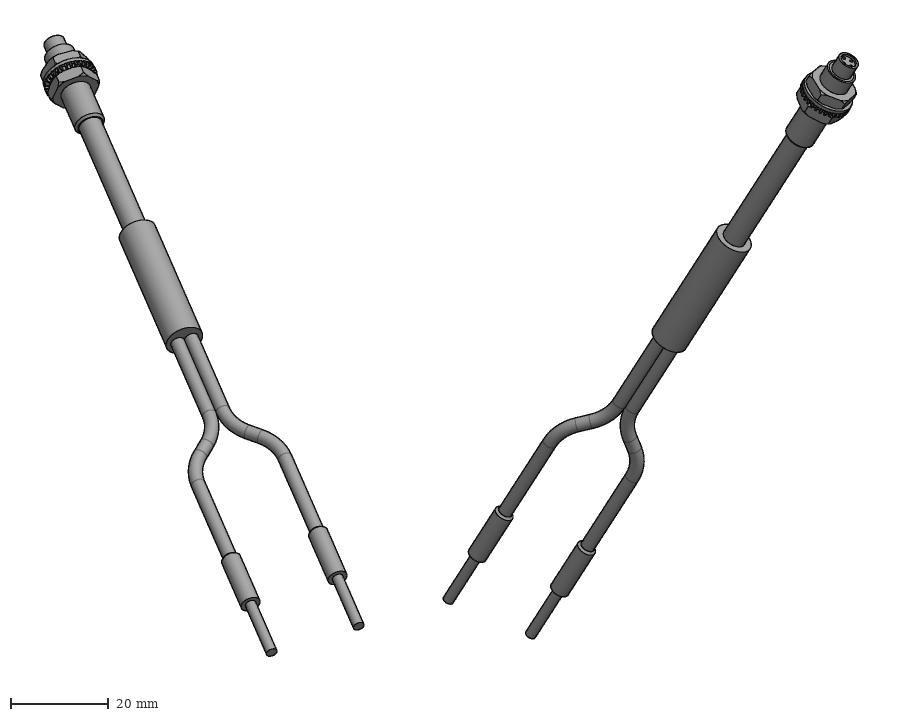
import cadquery as cq
import math

length = 165.6

nose_diameter = 4.5
nose_length = 3.3
shoulder_diameter = 5.6
shoulder_length = 3.3
face_recess_diameter = 3.5
face_recess_depth = 0.5
pin_hole_count = 4
pin_hole_diameter = 0.7
pin_hole_circle = 2.3
pin_hole_depth = 2.5
first_pin_angle = 45.0

barrel_diameter = 6.5
barrel_end = 23.0
barrel_chamfer = 0.5
hex_start = 6.8
hex_length = 2.5
hex_across_flats = 9.5
hex_chamfer = 0.5
flange_diameter = 11.1
flange_length = 0.8

washer_diameter = 11.3
washer_thickness = 1.0
tooth_count = 32
tooth_depth = 0.8
tooth_gap = 0.7

nut_length = 2.6
nut_turn = 10.0

cable_diameter = 5.0
cable_depth = 3.3
sleeve_diameter = 8.0
sleeve_start = 52.8
sleeve_length = 29.8

lead_diameter = 3.0
lead_spacing = 18.9
fork_start = 102.7
fork_turn = 3.0
bend_radius = 10.0
bend_angle = 45.0
ferrule_diameter = 4.1
ferrule_start = 139.3
ferrule_length = 12.9
ferrule_chamfer = 0.5
tip_diameter = 2.3

flange_start = hex_start + hex_length
washer_start = flange_start + flange_length
nut_start = washer_start + washer_thickness
insert_end = nose_length + shoulder_length
cable_start = barrel_end - cable_depth
sleeve_end = sleeve_start + sleeve_length
cable_end = sleeve_start + sleeve_length / 2
ferrule_end = ferrule_start + ferrule_length


def rod(diameter, start, end):
    """Round rod along X."""
    return cq.Workplane("YZ", origin=(start, 0, 0)).circle(diameter / 2).extrude(end - start)


def hexagon(start, thickness):
    """Hexagonal prism along X, flats facing +Z and -Z, with its corners turned down at both ends."""
    across_corners = hex_across_flats / math.cos(math.pi / 6)
    prism = cq.Workplane("YZ", origin=(start, 0, 0)).polygon(6, across_corners).extrude(thickness)
    turned = rod(across_corners, start, start + thickness).faces("<X or >X").chamfer(hex_chamfer)
    return prism.intersect(turned)


def make_insert():
    """Contact insert: a nose with blind pin holes in its recessed face, and a wider shoulder behind."""
    holes = (
        cq.Workplane("YZ")
        .polarArray(pin_hole_circle / 2, first_pin_angle, 360, pin_hole_count)
        .circle(pin_hole_diameter / 2)
        .extrude(pin_hole_depth)
    )
    face_recess = rod(face_recess_diameter, 0, face_recess_depth)
    nose = rod(nose_diameter, 0, nose_length)
    shoulder = rod(shoulder_diameter, nose_length, insert_end)
    return nose.union(shoulder).cut(face_recess).cut(holes)


def make_housing():
    """Barrel with a hexagon and a flange, open to the insert in front and the cable behind."""
    barrel = rod(barrel_diameter, nose_length, barrel_end).faces(">X").chamfer(barrel_chamfer)
    flange = rod(flange_diameter, flange_start, washer_start)
    insert_socket = rod(shoulder_diameter, nose_length, insert_end)
    cable_socket = rod(cable_diameter, cable_start, barrel_end)
    body = barrel.union(hexagon(hex_start, hex_length)).union(flange)
    return body.cut(insert_socket).cut(cable_socket)


def make_washer():
    """Lock washer with evenly spaced teeth around its rim."""
    disc = rod(washer_diameter, washer_start, nut_start)
    half_pitch = 180 / tooth_count
    gaps = (
        cq.Workplane("YZ", origin=(washer_start, 0, 0))
        .polarArray(washer_diameter / 2, half_pitch, 360, tooth_count)
        .rect(2 * tooth_depth, tooth_gap)
        .extrude(washer_thickness)
    )
    return disc.cut(gaps).cut(rod(barrel_diameter, washer_start, nut_start))


def make_nut():
    """Hexagonal nut, turned a little from the housing's hexagon."""
    nut = hexagon(nut_start, nut_length)
    bore = rod(barrel_diameter, nut_start, nut_start + nut_length)
    return nut.cut(bore).rotate((0, 0, 0), (1, 0, 0), nut_turn)


def make_cable():
    """Round cable from its socket in the housing to the middle of the sleeve."""
    return rod(cable_diameter, cable_start, cable_end)


def lead_path(near_y, far_y):
    """Centre line of a lead: two equal and opposite bends joined by straight runs."""
    side = math.copysign(1, far_y)
    angle = math.radians(bend_angle)
    bend_x = bend_radius * math.sin(angle)
    bend_y = side * bend_radius * (1 - math.cos(angle))
    middle_x = bend_radius * math.sin(angle / 2)
    middle_y = side * bend_radius * (1 - math.cos(angle / 2))
    slant_x = (abs(far_y - near_y) - 2 * abs(bend_y)) / math.tan(angle)
    fork_end = fork_start + 2 * bend_x + slant_x
    return (
        cq.Workplane("XY")
        .moveTo(cable_end, near_y)
        .lineTo(fork_start, near_y)
        .threePointArc((fork_start + middle_x, near_y + middle_y), (fork_start + bend_x, near_y + bend_y))
        .lineTo(fork_end - bend_x, far_y - bend_y)
        .threePointArc((fork_end - middle_x, far_y - middle_y), (fork_end, far_y))
        .lineTo(ferrule_start, far_y)
    )


def make_lead(side):
    """Bent lead with a ferrule and a thin tip; side is +1 toward +Y and -1 toward -Y."""
    near_y = side * lead_diameter / 2
    far_y = side * lead_spacing / 2
    section = cq.Workplane("YZ", origin=(cable_end, near_y, 0)).circle(lead_diameter / 2)
    wire = section.sweep(lead_path(near_y, far_y))
    ferrule = rod(ferrule_diameter, ferrule_start, ferrule_end).faces("<X").chamfer(ferrule_chamfer)
    tip = rod(tip_diameter, ferrule_end, length)
    end = ferrule.union(tip).translate((0, far_y, 0))
    return wire.union(end).rotate((0, 0, 0), (1, 0, 0), fork_turn)


def make_sleeve(cable, leads):
    """Sleeve with matching holes for the cable in front and the leads behind."""
    sleeve = rod(sleeve_diameter, sleeve_start, sleeve_end).cut(cable)
    for lead in leads:
        sleeve = sleeve.cut(lead)
    return sleeve


insert = make_insert()
housing = make_housing()
washer = make_washer()
nut = make_nut()
cable = make_cable()
leads = [make_lead(side) for side in (1, -1)]
sleeve = make_sleeve(cable, leads)

result = cq.Compound.makeCompound(
    [
        insert.val(),
        housing.val(),
        washer.val(),
        nut.val(),
        cable.val(),
        sleeve.val(),
        *[lead.val() for lead in leads],
    ]
)